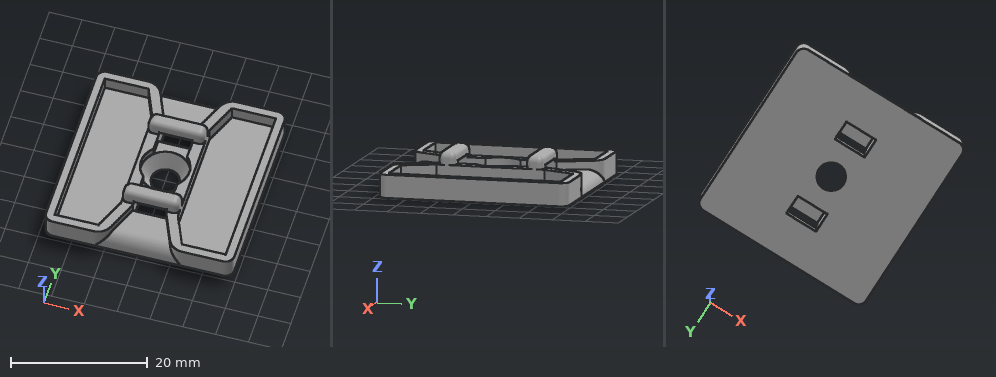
import cadquery as cq
import math

side = 28.7
half_side = side / 2
base_height = 3.47
total_height = 5.42
corner_radius = 1.32
wall = 1.32

channel_half_width = 2.55
flare_start = 8.15
flare_angle = math.radians(22.5)
flare_radius = 2.4
channel_floor = 2.25
channel_mouth = channel_half_width + (half_side - flare_start) * math.tan(flare_angle)

pocket_floor = 1.3

bridge_length = 8.67
bridge_width = 2.5
bridge_offset = 6.63
bridge_underside = 3.93
bridge_end_radius = 1.0
bridge_edge_radius = 0.8
window_length = 3.1

screw_radius = 2.1
head_radius = 3.67


def make_channel():
    """Channel space: the flared prism above a floor with rounded outer ends."""
    turn = math.pi / 2 - flare_angle
    tangent_length = flare_radius * math.tan(turn / 2)
    arc_start_x = channel_mouth - tangent_length * math.sin(flare_angle)
    arc_start_y = half_side - tangent_length * math.cos(flare_angle)
    arc_end_x = channel_mouth + tangent_length
    centre_y = half_side - flare_radius
    arc_mid_x = arc_end_x - flare_radius * math.sin(turn / 2)
    arc_mid_y = centre_y + flare_radius * math.cos(turn / 2)

    prism = (
        cq.Workplane("XY")
        .moveTo(arc_end_x, half_side)
        .threePointArc((arc_mid_x, arc_mid_y), (arc_start_x, arc_start_y))
        .lineTo(channel_half_width, flare_start)
        .lineTo(channel_half_width, -flare_start)
        .lineTo(arc_start_x, -arc_start_y)
        .threePointArc((arc_mid_x, -arc_mid_y), (arc_end_x, -half_side))
        .lineTo(-arc_end_x, -half_side)
        .threePointArc((-arc_mid_x, -arc_mid_y), (-arc_start_x, -arc_start_y))
        .lineTo(-channel_half_width, -flare_start)
        .lineTo(-channel_half_width, flare_start)
        .lineTo(-arc_start_x, arc_start_y)
        .threePointArc((-arc_mid_x, arc_mid_y), (-arc_end_x, half_side))
        .close()
        .extrude(base_height)
    )
    flat_end = half_side - channel_floor
    arc_offset = channel_floor * math.sqrt(0.5)
    floor = (
        cq.Workplane("YZ")
        .moveTo(-half_side, 0)
        .threePointArc((-flat_end - arc_offset, arc_offset), (-flat_end, channel_floor))
        .lineTo(flat_end, channel_floor)
        .threePointArc((flat_end + arc_offset, arc_offset), (half_side, 0))
        .close()
        .extrude(half_side, both=True)
    )
    return prism.cut(floor)


def make_pocket():
    """Pocket on the +X side, flared with the channel and flush with the bridge ends."""
    outer = half_side - wall
    inner = bridge_length / 2
    flared = inner + (outer - flare_start) * math.tan(flare_angle)
    return (
        cq.Workplane("XY", origin=(0, 0, pocket_floor))
        .polyline([
            (outer, outer),
            (flared, outer),
            (inner, flare_start),
            (inner, -flare_start),
            (flared, -outer),
            (outer, -outer),
        ])
        .close()
        .extrude(base_height - pocket_floor)
    )


def make_bridge(y):
    """Rounded bar standing on the channel walls, open underneath."""
    bar_height = total_height - base_height
    bar = (
        cq.Workplane("XY", origin=(0, y, base_height))
        .box(bridge_length, bridge_width, bar_height, centered=(True, True, False))
        .faces(">Z").edges("|Y").fillet(bridge_end_radius)
        .faces(">Z").edges("|X").fillet(bridge_edge_radius)
    )
    opening = (
        cq.Workplane("XY", origin=(0, y, base_height))
        .box(2 * channel_half_width, bridge_width, bridge_underside - base_height,
             centered=(True, True, False))
    )
    return bar.cut(opening)


def make_window(y):
    """Opening through the channel floor below a bridge."""
    return (
        cq.Workplane("XY", origin=(0, y, 0))
        .box(2 * channel_half_width, window_length, channel_floor, centered=(True, True, False))
    )


def make_screw_hole():
    """Conical through hole up to the channel floor and head clearance above it."""
    return (
        cq.Workplane("XZ")
        .polyline([
            (0, 0),
            (screw_radius, 0),
            (head_radius, channel_floor),
            (head_radius, base_height),
            (0, base_height),
        ])
        .close()
        .revolve(360, (0, 0, 0), (0, 1, 0))
    )


plate = cq.Workplane("XY").box(side, side, base_height, centered=(True, True, False))
plate = plate.edges("|Z").fillet(corner_radius)

pocket = make_pocket()
result = plate.cut(make_channel()).cut(pocket).cut(pocket.mirror("YZ")).cut(make_screw_hole())

for bridge_y in (-bridge_offset, bridge_offset):
    result = result.cut(make_window(bridge_y))
    result = result.union(make_bridge(bridge_y))